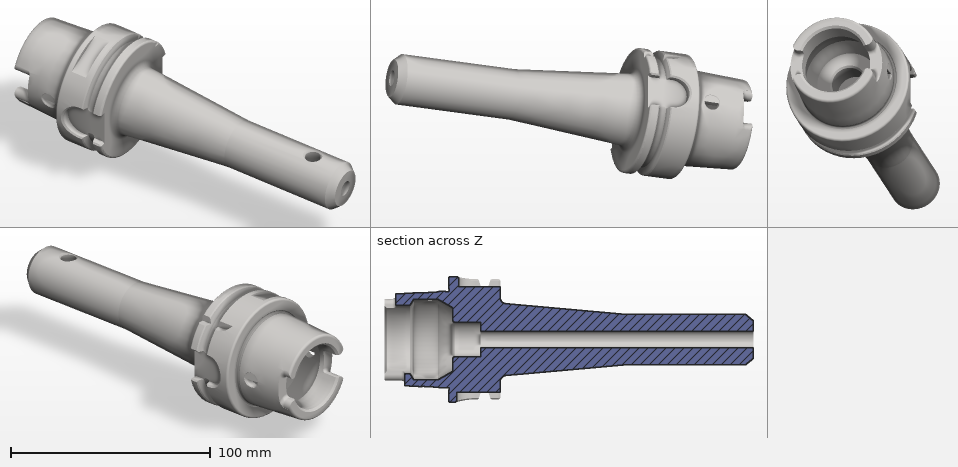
import cadquery as cq
import math

TOTAL_LENGTH = 184.4
FLANGE_FRONT = 31.9
FLANGE_REAR = 57.9
ARBOR_CONE_END = 120.6

MOUTH_RADIUS = 22.7
TAPER_END_RADIUS = 24.3
MOUTH_ROUND = 1.3
NECK_DIAMETER = 48.3
NECK_START = 30.0
NECK_LEAD_LENGTH = 0.5
FACE_GROOVE_RADIUS = 25.5
FACE_GROOVE_DEPTH = 0.4
FACE_GROOVE_FILLET = 0.5

FLANGE_RADIUS = 31.5
FLANGE_ROUND = 1.1
GROOVE_CENTRE = 50.0
GROOVE_FLOOR_RADIUS = 27.5
GROOVE_FLOOR_HALF_WIDTH = 0.83
GROOVE_CORNER_RADIUS = 27.7
GROOVE_CORNER_HALF_WIDTH = 1.8
GROOVE_LIP_RADIUS = 31.0
GROOVE_LIP_HALF_WIDTH = 3.0
GROOVE_MOUTH_HALF_WIDTH = 3.5

ARBOR_ROOT_RADIUS = 18.0
ARBOR_ROOT_FILLET = 3.0
SHANK_DIAMETER = 25.5
SHANK_END_DIAMETER = 19.0
SHANK_CHAMFER_LENGTH = 3.9

BORE_DIAMETER = 34.0
BORE_MOUTH_CHAMFER = 1.1
BORE_LIP_END = 12.7
CHAMBER_DIAMETER = 40.0
CHAMBER_LEAD_LENGTH = 1.8
CHAMBER_END = 26.7
CHAMBER_FLOOR = 34.0
CHAMBER_FLOOR_RADIUS = 15.9
TUBE_SEAT_DIAMETER = 17.0
TUBE_SEAT_CHAMFER = 1.0
TUBE_SEAT_END = 48.0
COOLANT_DIAMETER = 8.0

DRIVE_SLOT_HALF_WIDTH = 6.3
DRIVE_SLOT_FLARE = 3.0
DRIVE_SLOT_CORNER = 1.7
DRIVE_SLOT_DEPTH_FRONT = 10.0
DRIVE_SLOT_DEPTH_BACK = 5.5

KEYWAY_FLOOR = 26.5
KEYWAY_END_CENTRE = 45.2
KEYWAY_HALF_WIDTH_FRONT = 9.0
KEYWAY_HALF_WIDTH_BACK = 8.0
KEYWAY_EDGE_CHAMFER = 1.0
NOTCH_OFFSET = 20.5
NOTCH_END_RADIUS = 9.0
CHIP_FLAT_START = 35.2
CHIP_FLAT_LENGTH = 8.5
CHIP_FLAT_DISTANCE = 29.3
CHIP_FLAT_TILT = 21.5

ACCESS_HOLE_X = 22.7
ACCESS_HOLE_DIAMETER = 7.5
ACCESS_MOUTH_DIAMETER = 8.9
ACCESS_COVER_DEPTH = 0.2
CROSS_HOLE_X = 165.0
CROSS_HOLE_DIAMETER = 8.0
CROSS_MOUTH_DIAMETER = 10.0

OVERCUT = 1.8


def revolve_about_x(profile):
    """Turn a closed (x, radius) sketch about the X axis."""
    return profile.close().revolve(360, (0, 0, 0), (1, 0, 0))


def body():
    """Outer form: hollow taper, neck with face groove, flange and arbor."""
    neck_radius = NECK_DIAMETER / 2
    face_groove_x = FLANGE_FRONT + FACE_GROOVE_DEPTH
    root_x = FLANGE_REAR + ARBOR_ROOT_FILLET
    shank_radius = SHANK_DIAMETER / 2
    outline = (
        cq.Workplane("XY")
        .lineTo(0, MOUTH_RADIUS - MOUTH_ROUND)
        .radiusArc((MOUTH_ROUND, MOUTH_RADIUS), MOUTH_ROUND)
        .lineTo(NECK_START, TAPER_END_RADIUS)
        .lineTo(NECK_START + NECK_LEAD_LENGTH, neck_radius)
        .lineTo(face_groove_x - FACE_GROOVE_FILLET, neck_radius)
        .radiusArc((face_groove_x, neck_radius + FACE_GROOVE_FILLET), -FACE_GROOVE_FILLET)
        .lineTo(face_groove_x, FACE_GROOVE_RADIUS - FACE_GROOVE_DEPTH)
        .lineTo(FLANGE_FRONT, FACE_GROOVE_RADIUS)
        .lineTo(FLANGE_FRONT, FLANGE_RADIUS - FLANGE_ROUND)
        .radiusArc((FLANGE_FRONT + FLANGE_ROUND, FLANGE_RADIUS), FLANGE_ROUND)
        .lineTo(FLANGE_REAR - FLANGE_ROUND, FLANGE_RADIUS)
        .radiusArc((FLANGE_REAR, FLANGE_RADIUS - FLANGE_ROUND), FLANGE_ROUND)
        .lineTo(FLANGE_REAR, ARBOR_ROOT_RADIUS + ARBOR_ROOT_FILLET)
        .radiusArc((root_x, ARBOR_ROOT_RADIUS), -ARBOR_ROOT_FILLET)
        .lineTo(ARBOR_CONE_END, shank_radius)
        .lineTo(TOTAL_LENGTH - SHANK_CHAMFER_LENGTH, shank_radius)
        .lineTo(TOTAL_LENGTH, SHANK_END_DIAMETER / 2)
        .lineTo(TOTAL_LENGTH, 0)
    )
    return revolve_about_x(outline)


def bore():
    """Clamping bore, undercut chamber, tube seat and coolant channel."""
    bore_radius = BORE_DIAMETER / 2
    chamber_radius = CHAMBER_DIAMETER / 2
    seat_radius = TUBE_SEAT_DIAMETER / 2
    coolant_radius = COOLANT_DIAMETER / 2
    outline = (
        cq.Workplane("XY")
        .lineTo(0, bore_radius + BORE_MOUTH_CHAMFER)
        .lineTo(BORE_MOUTH_CHAMFER, bore_radius)
        .lineTo(BORE_LIP_END, bore_radius)
        .lineTo(BORE_LIP_END + CHAMBER_LEAD_LENGTH, chamber_radius)
        .lineTo(CHAMBER_END, chamber_radius)
        .lineTo(CHAMBER_FLOOR, CHAMBER_FLOOR_RADIUS)
        .lineTo(CHAMBER_FLOOR, seat_radius + TUBE_SEAT_CHAMFER)
        .lineTo(CHAMBER_FLOOR + TUBE_SEAT_CHAMFER, seat_radius)
        .lineTo(TUBE_SEAT_END, seat_radius)
        .lineTo(TUBE_SEAT_END, coolant_radius)
        .lineTo(TOTAL_LENGTH, coolant_radius)
        .lineTo(TOTAL_LENGTH, 0)
    )
    return revolve_about_x(outline)


def gripper_groove():
    """Ring that cuts the V groove with tapered floor corners and broken lips."""
    half_outline = [
        (GROOVE_MOUTH_HALF_WIDTH, FLANGE_RADIUS),
        (GROOVE_LIP_HALF_WIDTH, GROOVE_LIP_RADIUS),
        (GROOVE_CORNER_HALF_WIDTH, GROOVE_CORNER_RADIUS),
        (GROOVE_FLOOR_HALF_WIDTH, GROOVE_FLOOR_RADIUS),
    ]
    right_side = [(GROOVE_CENTRE + offset, radius) for offset, radius in half_outline]
    left_side = [(GROOVE_CENTRE - offset, radius) for offset, radius in reversed(half_outline)]
    top_radius = FLANGE_RADIUS + OVERCUT
    top = [
        (GROOVE_CENTRE - GROOVE_MOUTH_HALF_WIDTH, top_radius),
        (GROOVE_CENTRE + GROOVE_MOUTH_HALF_WIDTH, top_radius),
    ]
    return revolve_about_x(cq.Workplane("XY").polyline(right_side + left_side + top))


def drive_slot(side, depth):
    """Slot through one taper wall; its sides flare out to the taper surface."""
    flare_z = DRIVE_SLOT_HALF_WIDTH + DRIVE_SLOT_FLARE
    flare_distance = MOUTH_RADIUS - DRIVE_SLOT_FLARE
    flare_y = math.sqrt(flare_distance**2 - flare_z**2)
    rim_y = flare_y * MOUTH_RADIUS / flare_distance
    rim_z = flare_z * MOUTH_RADIUS / flare_distance
    outer_y = TAPER_END_RADIUS + OVERCUT
    slot = (
        cq.Workplane("YZ", origin=(-OVERCUT, 0, 0))
        .moveTo(0, -DRIVE_SLOT_HALF_WIDTH)
        .lineTo(side * flare_y, -DRIVE_SLOT_HALF_WIDTH)
        .radiusArc((side * rim_y, -rim_z), side * DRIVE_SLOT_FLARE)
        .lineTo(side * outer_y, -rim_z)
        .lineTo(side * outer_y, rim_z)
        .lineTo(side * rim_y, rim_z)
        .radiusArc((side * flare_y, DRIVE_SLOT_HALF_WIDTH), side * DRIVE_SLOT_FLARE)
        .lineTo(0, DRIVE_SLOT_HALF_WIDTH)
        .close()
        .extrude(depth + OVERCUT)
    )
    floor_edges = slot.faces(">X").edges()
    return floor_edges.edges("not |Z").fillet(DRIVE_SLOT_CORNER)


def keyway(side, half_width):
    """Round-ended keyway that runs out through the rear of the flange."""
    height = FLANGE_RADIUS + OVERCUT - KEYWAY_FLOOR
    length = FLANGE_REAR + OVERCUT - KEYWAY_END_CENTRE
    middle_y = side * (KEYWAY_FLOOR + height / 2)
    straight = cq.Workplane("XY").box(length, height, 2 * half_width)
    straight = straight.translate((KEYWAY_END_CENTRE + length / 2, middle_y, 0))
    round_end = cq.Workplane("XZ").circle(half_width).extrude(height / 2, both=True)
    return straight.union(round_end.translate((KEYWAY_END_CENTRE, middle_y, 0)))


def keyway_rim(side):
    """Selector for the edges where a keyway meets the flange's outer surface."""
    reach = KEYWAY_HALF_WIDTH_FRONT + KEYWAY_EDGE_CHAMFER
    near_y = side * (KEYWAY_FLOOR + OVERCUT)
    far_y = side * (FLANGE_RADIUS + OVERCUT)
    front_x = FLANGE_FRONT + FLANGE_ROUND + KEYWAY_EDGE_CHAMFER
    rear_x = FLANGE_REAR - FLANGE_ROUND - KEYWAY_EDGE_CHAMFER
    return cq.selectors.BoxSelector((front_x, near_y, -reach), (rear_x, far_y, reach))


def index_notch():
    """Corner notch at 45 degrees with a quarter-round front end."""
    reach = FLANGE_RADIUS
    start_x = KEYWAY_END_CENTRE - NOTCH_END_RADIUS
    return (
        cq.Workplane("XZ", origin=(0, NOTCH_OFFSET, 0))
        .moveTo(KEYWAY_END_CENTRE, NOTCH_OFFSET)
        .radiusArc((start_x, NOTCH_OFFSET + NOTCH_END_RADIUS), NOTCH_END_RADIUS)
        .lineTo(start_x, reach)
        .lineTo(FLANGE_REAR + OVERCUT, reach)
        .lineTo(FLANGE_REAR + OVERCUT, NOTCH_OFFSET)
        .close()
        .extrude(-reach)
    )


def chip_flat():
    """Flat on the flange, tilted from +Z toward -Y."""
    flat = cq.Workplane("XY").box(
        CHIP_FLAT_LENGTH, 2 * FLANGE_RADIUS, FLANGE_RADIUS, centered=(False, True, False)
    )
    flat = flat.translate((CHIP_FLAT_START, 0, CHIP_FLAT_DISTANCE))
    return flat.rotate((0, 0, 0), (1, 0, 0), CHIP_FLAT_TILT)


def taper_radius(x):
    """Outer radius of the hollow taper at a station x."""
    slope = (TAPER_END_RADIUS - MOUTH_RADIUS) / (NECK_START - MOUTH_ROUND)
    return MOUTH_RADIUS + slope * (x - MOUTH_ROUND)


def countersunk_hole(diameter, mouth_diameter, surface):
    """Hole along +Z from the origin, with a 45-degree mouth at height `surface`."""
    radius = diameter / 2
    mouth_radius = mouth_diameter / 2
    return (
        cq.Workplane("XZ")
        .lineTo(radius, 0)
        .lineTo(radius, surface - (mouth_radius - radius))
        .lineTo(mouth_radius, surface)
        .lineTo(mouth_radius, surface + OVERCUT)
        .lineTo(0, surface + OVERCUT)
        .close()
        .revolve(360, (0, 0, 0), (0, 1, 0))
    )


def access_holes():
    """Radial holes in both taper walls; only the lower half of each is open."""
    surface = taper_radius(ACCESS_HOLE_X)
    upward = countersunk_hole(ACCESS_HOLE_DIAMETER, ACCESS_MOUTH_DIAMETER, surface)
    pair = upward.rotate((0, 0, 0), (1, 0, 0), 90)
    pair = pair.union(upward.rotate((0, 0, 0), (1, 0, 0), -90))
    pair = pair.translate((ACCESS_HOLE_X, 0, 0))
    span = 2 * (surface + OVERCUT)
    upper_half = cq.Workplane("XY").box(span, span, span, centered=(True, True, False))
    upper_half = upper_half.translate((ACCESS_HOLE_X, 0, 0))
    cover = revolve_about_x(
        cq.Workplane("XY")
        .lineTo(0, taper_radius(0) - ACCESS_COVER_DEPTH)
        .lineTo(NECK_START, TAPER_END_RADIUS - ACCESS_COVER_DEPTH)
        .lineTo(NECK_START, 0)
    )
    return pair.cut(upper_half.intersect(cover))


def cross_hole():
    """Radial hole from the top of the shank down to the coolant channel."""
    hole = countersunk_hole(CROSS_HOLE_DIAMETER, CROSS_MOUTH_DIAMETER, SHANK_DIAMETER / 2)
    return hole.translate((CROSS_HOLE_X, 0, 0))


result = body()
for side, half_width in ((-1, KEYWAY_HALF_WIDTH_FRONT), (1, KEYWAY_HALF_WIDTH_BACK)):
    result = result.cut(keyway(side, half_width))
    result = result.edges(keyway_rim(side)).chamfer(KEYWAY_EDGE_CHAMFER)
result = result.cut(gripper_groove()).cut(index_notch()).cut(chip_flat())
result = result.cut(bore())
for side, depth in ((-1, DRIVE_SLOT_DEPTH_FRONT), (1, DRIVE_SLOT_DEPTH_BACK)):
    result = result.cut(drive_slot(side, depth))
result = result.cut(access_holes()).cut(cross_hole())